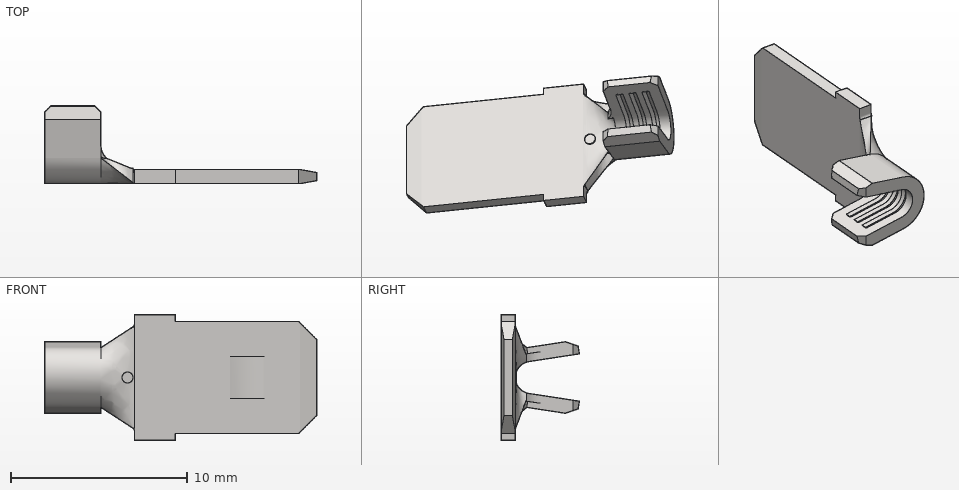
import cadquery as cq
import math


thickness = 0.81

barrel_length = 3.19
shoulder_start = 5.09
shoulder_end = 7.42
total_length = 15.44

shoulder_width = 7.14
blade_width = 6.37
tip_corner = 1.03
tip_bevel_length = 0.93
tip_bevel_depth = 0.17

detent_start = 10.53
detent_length = 1.91
detent_width = 2.37
detent_depth = 0.15

outer_radius = 1.72
inner_radius = outer_radius - thickness
leg_flare = math.radians(8.7)
leg_height = 4.45
knee_height = 3.65
tip_thickness = 0.45
leg_corner = 0.375

groove_count = 3
groove_pitch = 0.76
groove_width = 0.42
groove_depth = 0.1
groove_end_height = 3.6

neck_width = 5.87
neck_fillet = 0.2
web_length = 0.33
web_top = 2.2
web_bottom = 1.44
web_setback = 0.35
web_outer_radius = outer_radius - web_setback

stud_x = 4.70
stud_diameter = 0.62
stud_height = 0.08


def on_barrel(radius, along=0.0):
    """Point (Y, Z) on the upper leg: `along` from the end of the bend of the given radius."""
    y = outer_radius - radius * math.sin(leg_flare) + along * math.cos(leg_flare)
    z = radius * math.cos(leg_flare) + along * math.sin(leg_flare)
    return y, z


def leg_run(radius, height):
    """Length along the leg from the end of the bend up to a given Y."""
    return (height - on_barrel(radius)[0]) / math.cos(leg_flare)


def mirrored(point):
    return point[0], -point[1]


def section_plane(x):
    """Plane across the part whose local axes are Y and Z and whose normal is +X."""
    return cq.Workplane("YZ", origin=(x, 0, 0))


def block(x_start, x_end, width):
    """Sheet-thick plate between two X stations, centred on Z = 0."""
    return cq.Workplane("XY").box(
        x_end - x_start, thickness, width, centered=(False, False, True)
    ).translate((x_start, 0, 0))


def make_blade():
    half_width = blade_width / 2
    tip_half_width = half_width - tip_corner
    outline = [
        (shoulder_end, -half_width),
        (total_length - tip_corner, -half_width),
        (total_length, -tip_half_width),
        (total_length, tip_half_width),
        (total_length - tip_corner, half_width),
        (shoulder_end, half_width),
    ]
    blade = cq.Workplane("XZ").polyline(outline).close().extrude(-thickness)
    bevel_start = total_length - tip_bevel_length
    side_profile = [
        (shoulder_end, 0),
        (bevel_start, 0),
        (total_length, tip_bevel_depth),
        (total_length, thickness - tip_bevel_depth),
        (bevel_start, thickness),
        (shoulder_end, thickness),
    ]
    bevels = cq.Workplane("XY").polyline(side_profile).close().extrude(half_width, both=True)
    return blade.intersect(bevels)


def make_detent():
    middle = detent_start + detent_length / 2
    return (
        cq.Workplane("XY")
        .moveTo(detent_start, 0)
        .threePointArc((middle, detent_depth), (detent_start + detent_length, 0))
        .close()
        .extrude(detent_width / 2, both=True)
    )


def make_u_bar(length, face_radius):
    """U-shaped bar from X = 0 with flared, thinned legs and an outer bend of the given radius."""
    outer_bend = on_barrel(face_radius)
    inner_bend = on_barrel(inner_radius)
    knee = on_barrel(face_radius, leg_run(face_radius, knee_height))
    tip_run = leg_run(inner_radius, leg_height)
    inner_tip = on_barrel(inner_radius, tip_run)
    outer_tip = on_barrel(inner_radius + tip_thickness, tip_run)
    return (
        section_plane(0)
        .moveTo(*outer_bend)
        .threePointArc((outer_radius - face_radius, 0), mirrored(outer_bend))
        .lineTo(*mirrored(knee))
        .lineTo(*mirrored(outer_tip))
        .lineTo(*mirrored(inner_tip))
        .lineTo(*mirrored(inner_bend))
        .threePointArc((thickness, 0), inner_bend)
        .lineTo(*inner_tip)
        .lineTo(*outer_tip)
        .lineTo(*knee)
        .close()
        .extrude(length)
    )


def make_barrel():
    side_outline = (
        cq.Workplane("XY")
        .rect(barrel_length, leg_height, centered=False)
        .extrude(shoulder_width / 2, both=True)
        .edges("|Z and >Y")
        .chamfer(leg_corner)
    )
    return make_u_bar(barrel_length, outer_radius).intersect(side_outline)


def make_groove(x_middle):
    """V-shaped groove that follows the inner face of the barrel from leg to leg."""
    bend = on_barrel(inner_radius)
    end = on_barrel(inner_radius, leg_run(inner_radius, groove_end_height))
    path = (
        section_plane(x_middle)
        .moveTo(*end)
        .lineTo(*bend)
        .threePointArc((thickness, 0), mirrored(bend))
        .lineTo(*mirrored(end))
    )
    down_the_leg = (0, -math.cos(leg_flare), -math.sin(leg_flare))
    end_plane = cq.Plane(origin=(x_middle, *end), xDir=(1, 0, 0), normal=down_the_leg)
    half_width = groove_width / 2
    return (
        cq.Workplane(end_plane)
        .polyline([(-half_width, 0), (half_width, 0), (0, groove_depth)])
        .close()
        .sweep(path)
    )


def make_transition():
    """Neck that flattens the bend of the barrel into the sheet of the blade."""
    half_neck = neck_width / 2
    outer_bend = on_barrel(outer_radius)
    inner_bend = on_barrel(inner_radius)
    bend_corners = [outer_bend, mirrored(outer_bend), mirrored(inner_bend), inner_bend]
    flat_corners = [(0, half_neck), (0, -half_neck), (thickness, -half_neck), (thickness, half_neck)]
    bend_points = [cq.Vector(barrel_length, y, z) for y, z in bend_corners]
    flat_points = [cq.Vector(shoulder_start, y, z) for y, z in flat_corners]
    outer_middle = cq.Vector(barrel_length, 0, 0)
    inner_middle = cq.Vector(barrel_length, thickness, 0)
    bend_edges = [
        cq.Edge.makeThreePointArc(bend_points[0], outer_middle, bend_points[1]),
        cq.Edge.makeLine(bend_points[1], bend_points[2]),
        cq.Edge.makeThreePointArc(bend_points[2], inner_middle, bend_points[3]),
        cq.Edge.makeLine(bend_points[3], bend_points[0]),
    ]
    flat_edges = [
        cq.Edge.makeLine(flat_points[index], flat_points[(index + 1) % len(flat_points)])
        for index in range(len(flat_points))
    ]
    faces = [cq.Face.makeRuledSurface(bend, flat) for bend, flat in zip(bend_edges, flat_edges)]
    for end_edges in (bend_edges, flat_edges):
        faces.append(cq.Face.makeFromWires(cq.Wire.assembleEdges(end_edges)))
    return cq.Workplane(cq.Solid.makeSolid(cq.Shell.makeShell(faces)).fix())


def make_neck_fillet():
    """Small concave fillet between the upper neck edge and the shoulder end."""
    half_neck = neck_width / 2
    edge_angle = math.atan2(half_neck - on_barrel(outer_radius)[1], shoulder_start - barrel_length)
    tangent = neck_fillet * math.tan((math.pi / 2 - edge_angle) / 2)
    arc_angle = (math.pi / 2 + edge_angle) / 2
    centre = (shoulder_start - neck_fillet, half_neck + tangent)
    arc_middle = (
        centre[0] + neck_fillet * math.sin(arc_angle),
        centre[1] - neck_fillet * math.cos(arc_angle),
    )
    edge_end = (
        shoulder_start - tangent * math.cos(edge_angle),
        half_neck - tangent * math.sin(edge_angle),
    )
    return (
        cq.Workplane("XZ")
        .moveTo(shoulder_start, half_neck + tangent)
        .threePointArc(arc_middle, edge_end)
        .lineTo(shoulder_start, edge_end[1])
        .close()
        .extrude(-thickness)
    )


def make_webs():
    """Concave webs, thinner than the legs, that run the leg edges down into the neck."""
    web_end = barrel_length + web_length
    web_height = web_top - web_bottom
    curve_radius = (web_length**2 + web_height**2) / (2 * web_length)
    half_sweep = math.atan2(web_length, web_height)
    curve_middle = (
        barrel_length + curve_radius * (1 - math.cos(half_sweep)),
        web_top - curve_radius * math.sin(half_sweep),
    )
    side_outline = (
        cq.Workplane("XY")
        .moveTo(barrel_length, web_bottom)
        .lineTo(barrel_length, web_top)
        .threePointArc(curve_middle, (web_end, web_bottom))
        .close()
        .extrude(shoulder_width / 2, both=True)
    )
    return make_u_bar(web_end, web_outer_radius).intersect(side_outline)


def make_stud():
    """Round stud, flush with the front face and standing slightly proud of the rear."""
    return (
        cq.Workplane("XZ", origin=(stud_x, 0, 0))
        .circle(stud_diameter / 2)
        .extrude(-(thickness + stud_height))
    )


result = make_transition().union(block(shoulder_start, shoulder_end, shoulder_width))
upper_fillet = make_neck_fillet()
result = result.union(upper_fillet).union(upper_fillet.mirror("XY"))

result = result.union(make_blade()).union(make_barrel()).union(make_webs())

result = result.cut(make_detent())
for index in range(groove_count):
    offset = (index - (groove_count - 1) / 2) * groove_pitch
    result = result.cut(make_groove(barrel_length / 2 + offset))
result = result.union(make_stud())